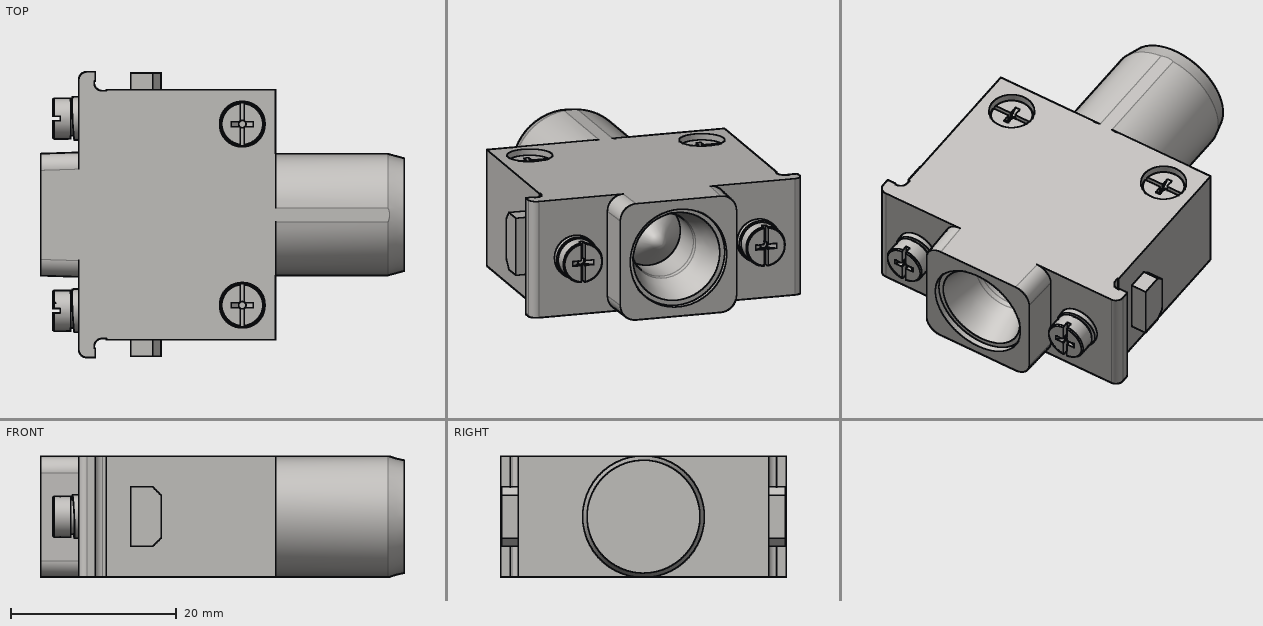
import cadquery as cq
import math


height = 14.6
block_width = 30.2
block_end_x = 23.77
flange_width = 34.5
flange_thickness = 2.03
flange_edge_radius = 1.0
undercut = 0.13
groove_radius = 0.93
groove_end_x = 3.36
groove_lip_y = 16.1

nose_length = 4.57
nose_tip_width = 14.75
nose_root_width = 15.05
nose_corner_radius = 2.0

tube_radius = 7.35
tube_end_x = 39.31
tube_chamfer_length = 2.0
tube_chamfer_angle = 15

latch_front_x = 6.28
latch_length = 3.68
latch_height = 7.16
latch_span = 34.2
latch_chamfer = 1.0

mouth_diameter = 12.25
mouth_depth = 0.8
funnel_mouth_diameter = 11.0
funnel_end_diameter = 8.1
funnel_length = 5.0
throat_diameter = 7.95
throat_length = 0.65
straight_bore_length = 8.0

pin_cone_length = 5.0
pin_shank_length = 3.0

head_height = 2.15
head_chamfer_length = 0.2
head_chamfer_depth = 0.13
slot_width = 0.5
slot_depth = 0.9
cross_length = 2.65
cross_width = 0.6
cross_depth = 1.1
cross_core_diameter = 0.9

fixing_screw_y = 11.6
fixing_head_diameter = 4.95
fixing_head_front_x = -3.11
fixing_neck_diameter = 4.2
washer_diameter = 5.25
washer_front_x = -0.62
washer_sink = 0.5
washer_tilt = 2.5

cover_screw_x = 19.76
cover_screw_y = 10.93
cover_hole_diameter = 5.5
cover_head_diameter = 5.2
cover_head_recess = 0.7

nose_tip_x = -nose_length
funnel_start_x = nose_tip_x + mouth_depth
funnel_end_x = funnel_start_x + funnel_length
throat_end_x = funnel_end_x + throat_length
bore_end_x = throat_end_x + straight_bore_length


def x_cylinder(diameter, start_x, end_x):
    """A cylinder on the X axis."""
    return cq.Workplane("YZ", origin=(start_x, 0, 0)).circle(diameter / 2).extrude(end_x - start_x)


def flanged_block():
    """The block with its hooked flange, one half extruded over the full height and mirrored."""
    groove_y = block_width / 2 - undercut
    groove_front_x = flange_thickness - undercut
    arc_center = (groove_front_x + groove_radius, groove_y + groove_radius)
    arc_middle = (
        arc_center[0] - groove_radius * math.sqrt(0.5),
        arc_center[1] - groove_radius * math.sqrt(0.5),
    )
    half = (
        cq.Workplane("XY", origin=(0, 0, -height / 2))
        .moveTo(0, 0)
        .lineTo(0, flange_width / 2 - flange_edge_radius)
        .radiusArc((flange_edge_radius, flange_width / 2), flange_edge_radius)
        .lineTo(flange_thickness, flange_width / 2)
        .lineTo(flange_thickness, groove_lip_y)
        .lineTo(groove_front_x, groove_lip_y)
        .lineTo(groove_front_x, arc_center[1])
        .threePointArc(arc_middle, (arc_center[0], groove_y))
        .lineTo(groove_end_x, groove_y)
        .lineTo(groove_end_x, block_width / 2)
        .lineTo(block_end_x, block_width / 2)
        .lineTo(block_end_x, 0)
        .close()
        .extrude(height)
    )
    return half.union(half.mirror("XZ"))


def nose():
    """The rounded nose, widening slightly towards the flange."""
    return (
        cq.Workplane("XY", origin=(0, 0, -height / 2))
        .polyline(
            [
                (nose_tip_x, -nose_tip_width / 2),
                (0, -nose_root_width / 2),
                (0, nose_root_width / 2),
                (nose_tip_x, nose_tip_width / 2),
            ]
        )
        .close()
        .extrude(height)
        .edges("#Z and (not |Y)")
        .fillet(nose_corner_radius)
    )


def tube():
    """The rear tube, chamfered at its end and cut flush with the top and bottom of the block."""
    chamfer_depth = tube_chamfer_length * math.tan(math.radians(tube_chamfer_angle))
    length = tube_end_x - block_end_x
    round_tube = (
        x_cylinder(2 * tube_radius, block_end_x, tube_end_x)
        .faces(">X")
        .chamfer(tube_chamfer_length, chamfer_depth)
    )
    flat_limits = cq.Workplane("XY").box(length, 2 * tube_radius, height)
    return round_tube.intersect(flat_limits.translate((block_end_x + length / 2, 0, 0)))


def latches():
    """The latch on both sides of the block, one bar running across it."""
    return (
        cq.Workplane("XY")
        .box(latch_length, latch_span, latch_height)
        .edges("|Y and >X")
        .chamfer(latch_chamfer)
        .translate((latch_front_x + latch_length / 2, 0, 0))
    )


def bore():
    """The shallow mouth, the funnel, the tapered throat and the straight bore, revolved about X."""
    return (
        cq.Workplane("XY")
        .moveTo(nose_tip_x, 0)
        .lineTo(nose_tip_x, mouth_diameter / 2)
        .lineTo(funnel_start_x, mouth_diameter / 2)
        .lineTo(funnel_start_x, funnel_mouth_diameter / 2)
        .lineTo(funnel_end_x, funnel_end_diameter / 2)
        .lineTo(throat_end_x, throat_diameter / 2)
        .lineTo(bore_end_x, throat_diameter / 2)
        .lineTo(bore_end_x, 0)
        .close()
        .revolve(360, (0, 0, 0), (1, 0, 0))
    )


def screw_head(diameter):
    """A head with its top at Z = 0, slotted along Y, with a tapered cross recess in its middle."""
    head = (
        cq.Workplane("XY")
        .circle(diameter / 2)
        .extrude(-head_height)
        .faces(">Z")
        .chamfer(head_chamfer_length, head_chamfer_depth)
    )
    slot = cq.Workplane("XY").box(slot_width, diameter, 2 * slot_depth)
    cross = (
        cq.Workplane("XZ")
        .polyline([(-cross_length / 2, 0), (cross_length / 2, 0), (0, -cross_depth)])
        .close()
        .extrude(cross_width / 2, both=True)
    )
    core = cq.Workplane("XY").circle(cross_core_diameter / 2).extrude(-cross_depth)
    return head.cut(slot).cut(cross).cut(core)


def fixing_screw():
    """A screw head on a neck, facing -X, with a slightly tilted spring washer under it."""
    head = (
        screw_head(fixing_head_diameter)
        .rotate((0, 0, 0), (0, 0, 1), 90)
        .rotate((0, 0, 0), (0, 1, 0), -90)
        .translate((fixing_head_front_x, 0, 0))
    )
    neck = x_cylinder(fixing_neck_diameter, fixing_head_front_x + head_height, 0)
    washer = (
        x_cylinder(washer_diameter, 0, washer_sink - washer_front_x)
        .rotate((0, 0, 0), (0, 1, 0), -washer_tilt)
        .rotate((0, 0, 0), (0, 0, 1), washer_tilt)
        .translate((washer_front_x, 0, 0))
    )
    return head.union(neck).union(washer)


def housing_body():
    """The block with its nose, tube, latches and screws, drilled by the bore."""
    body = flanged_block().union(nose()).union(tube()).union(latches())
    for side in (-1, 1):
        body = body.union(fixing_screw().translate((0, side * fixing_screw_y, 0)))
        center = (cover_screw_x, side * cover_screw_y, height / 2)
        hole_depth = cover_head_recess + head_height
        hole = cq.Workplane("XY", origin=center).circle(cover_hole_diameter / 2).extrude(-hole_depth)
        head = screw_head(cover_head_diameter)
        body = body.cut(hole).union(head.translate(center).translate((0, 0, -cover_head_recess)))
    return body.cut(bore())


def contact_pin():
    """A short shank at the end of the bore, with a cone pointing towards the nose."""
    shank_start_x = bore_end_x - pin_shank_length
    shank = x_cylinder(throat_diameter, shank_start_x, bore_end_x)
    cone = cq.Solid.makeCone(
        throat_diameter / 2, 0, pin_cone_length, cq.Vector(shank_start_x, 0, 0), cq.Vector(-1, 0, 0)
    )
    return shank.union(cq.Workplane(cone))


housing = housing_body()
pin = contact_pin()
result = cq.Compound.makeCompound([housing.val(), pin.val()])